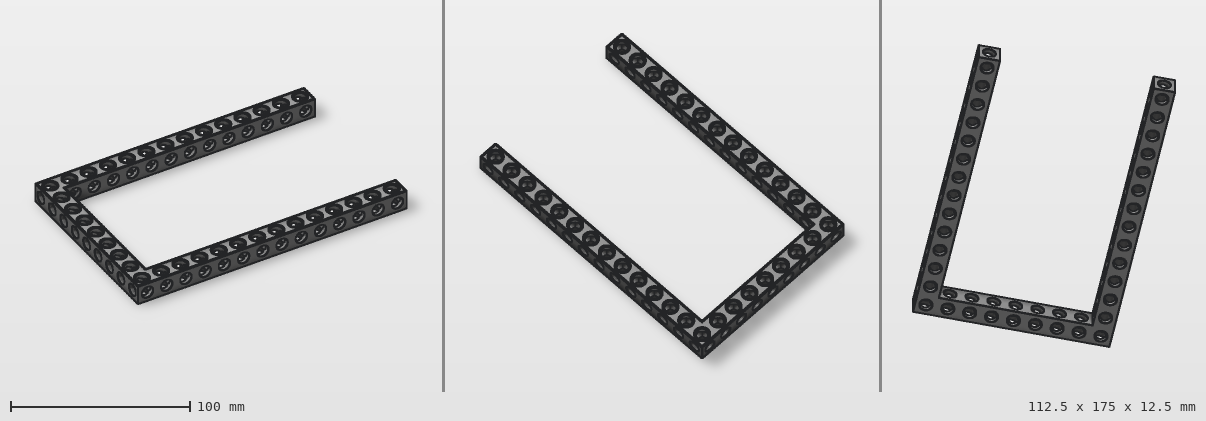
import cadquery as cq

LENGTH = 175.0
LEG_CELLS = 14
BASE_CELLS = 9
HOLE_DIAMETER = 7.0
EDGE_CHAMFER = 0.3

RECESS_DEPTH = 0.2
RIM_INSET = 0.9
COLLAR_DIAMETER = 9.3

CELL = LENGTH / LEG_CELLS
HALF_CELL = CELL / 2
LEG_COLUMNS = (0, BASE_CELLS - 1)
WIDTH = BASE_CELLS * CELL
HOLE_RADIUS = HOLE_DIAMETER / 2


def cell_center(index):
    return HALF_CELL + index * CELL


def u_outline(inset, height):
    """U-shaped prism open towards +Y, its outline moved inwards by the inset."""
    left, right = inset, WIDTH - inset
    front, back = inset, LENGTH - inset
    inner_left, inner_right = CELL - inset, WIDTH - CELL + inset
    inner_front = CELL - inset
    corners = [
        (left, front),
        (right, front),
        (right, back),
        (inner_right, back),
        (inner_right, inner_front),
        (inner_left, inner_front),
        (inner_left, back),
        (left, back),
    ]
    return cq.Workplane("XY").polyline(corners).close().extrude(height)


def frame_body():
    """Main U-bar with its outer vertical edges and all top and bottom edges chamfered."""
    body = u_outline(0, CELL)
    body = body.edges("|Z").edges("<Y or >Y").chamfer(EDGE_CHAMFER)
    return body.faces(">Z or <Z").chamfer(EDGE_CHAMFER)


def top_recess(hole_positions):
    """Cutter for the shallow recess in the top face, spared around every vertical hole."""
    recess = u_outline(RIM_INSET, RECESS_DEPTH)
    collars = cq.Workplane("XY").pushPoints(hole_positions).circle(COLLAR_DIAMETER / 2).extrude(RECESS_DEPTH)
    return recess.cut(collars).translate((0, 0, CELL - RECESS_DEPTH))


def chamfered_hole(start, direction, depth):
    """Straight hole cutter that flares by the edge chamfer at both ends."""
    start = cq.Vector(*start)
    direction = cq.Vector(*direction)
    mouth_radius = HOLE_RADIUS + EDGE_CHAMFER
    end = start + direction * depth
    drill = cq.Solid.makeCylinder(HOLE_RADIUS, depth, start, direction)
    entry = cq.Solid.makeCone(mouth_radius, HOLE_RADIUS, EDGE_CHAMFER, start, direction)
    leave = cq.Solid.makeCone(mouth_radius, HOLE_RADIUS, EDGE_CHAMFER, end, direction * -1)
    return [drill, entry, leave]


def vertical_hole_positions():
    """Cell centres of both legs and of the base that joins them."""
    positions = []
    for column in range(BASE_CELLS):
        is_leg = column in LEG_COLUMNS
        for row in range(LEG_CELLS if is_leg else 1):
            positions.append((cell_center(column), cell_center(row)))
    return positions


def hole_cutters(hole_positions):
    """Cutters for the holes along Z, along Y and along X."""
    along_x, along_y, along_z = (1, 0, 0), (0, 1, 0), (0, 0, 1)
    cutters = []
    for x, y in hole_positions:
        cutters += chamfered_hole((x, y, 0), along_z, CELL)
    for column in range(BASE_CELLS):
        is_leg = column in LEG_COLUMNS
        depth = LENGTH if is_leg else CELL
        cutters += chamfered_hole((cell_center(column), 0, HALF_CELL), along_y, depth)
    for row in range(LEG_CELLS):
        y = cell_center(row)
        if row == 0:
            cutters += chamfered_hole((0, y, HALF_CELL), along_x, WIDTH)
        else:
            cutters += chamfered_hole((0, y, HALF_CELL), along_x, CELL)
            cutters += chamfered_hole((WIDTH - CELL, y, HALF_CELL), along_x, CELL)
    return cutters


positions = vertical_hole_positions()
drilled_frame = frame_body().val().cut(*hole_cutters(positions))
result = cq.Workplane(drilled_frame).cut(top_recess(positions))